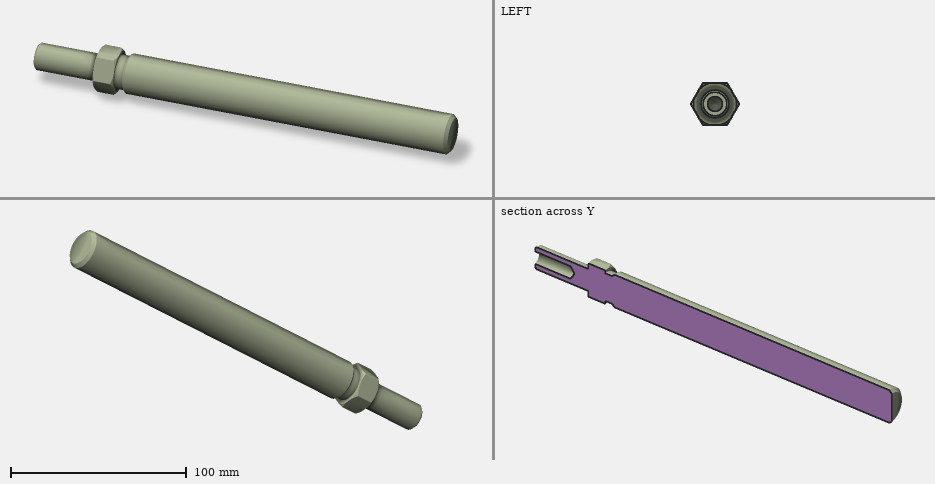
import cadquery as cq
import math

total_length = 249.0
stud_diameter = 16.0
stud_length = 37.0
stud_chamfer = 1.2

hex_across_flats = 24.0
hex_width = 12.2
hex_corner_diameter = 27.5
hex_chamfer_length = 1.2
hex_chamfer_depth = 1.5

neck_diameter = 20.0
neck_length = 4.5

body_diameter = 23.5
body_front_chamfer = (body_diameter - neck_diameter) / 2
body_rear_chamfer = 2.0

bore_diameter = 8.5
bore_depth = 25.0
drill_point_angle = 118.0

hex_end = stud_length + hex_width
body_start = hex_end + neck_length
body_length = total_length - body_start


def cylinder(start, length, diameter):
    return cq.Workplane("YZ", origin=(start, 0, 0)).circle(diameter / 2).extrude(length)


def make_stud():
    stud = cylinder(0, stud_length, stud_diameter)
    return stud.faces("<X").chamfer(stud_chamfer)


def make_hex():
    """Hexagon with flats on +Z and -Z, its corners turned down and bevelled at both ends."""
    corner_to_corner = hex_across_flats / math.cos(math.radians(30))
    hexagon = (
        cq.Workplane("YZ", origin=(stud_length, 0, 0))
        .polygon(6, corner_to_corner)
        .extrude(hex_width)
    )
    corner_radius = hex_corner_diameter / 2
    face_radius = corner_radius - hex_chamfer_depth
    turned_envelope = (
        cq.Workplane("XY")
        .moveTo(stud_length, 0)
        .lineTo(stud_length, face_radius)
        .lineTo(stud_length + hex_chamfer_length, corner_radius)
        .lineTo(hex_end - hex_chamfer_length, corner_radius)
        .lineTo(hex_end, face_radius)
        .lineTo(hex_end, 0)
        .close()
        .revolve(360, (0, 0, 0), (1, 0, 0))
    )
    return hexagon.intersect(turned_envelope)


def make_body():
    body = cylinder(body_start, body_length, body_diameter)
    body = body.faces("<X").chamfer(body_front_chamfer)
    return body.faces(">X").chamfer(body_rear_chamfer)


def make_bore():
    """Blind hole from the stud end, closed by a conical drill point."""
    bore_radius = bore_diameter / 2
    point_length = bore_radius / math.tan(math.radians(drill_point_angle / 2))
    return (
        cq.Workplane("XY")
        .lineTo(0, bore_radius)
        .lineTo(bore_depth, bore_radius)
        .lineTo(bore_depth + point_length, 0)
        .close()
        .revolve(360, (0, 0, 0), (1, 0, 0))
    )


neck = cylinder(hex_end, neck_length, neck_diameter)
result = make_stud().union(make_hex()).union(neck).union(make_body()).cut(make_bore())